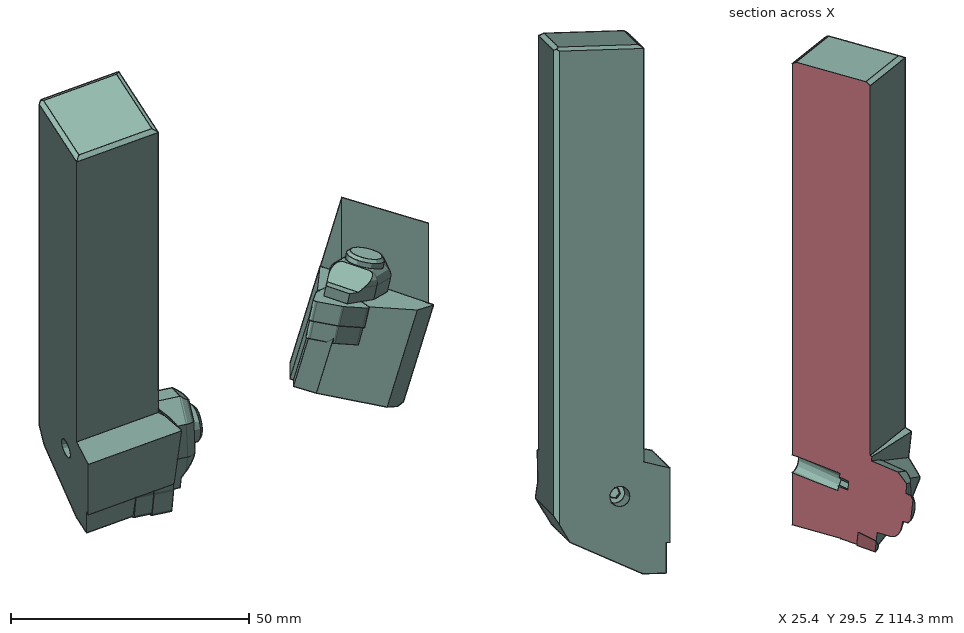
import cadquery as cq
import math

length = 114.3
shank_size = 19.1
edge_chamfer = 1.0
end_chamfer_height = 0.7

head_right = 24.7
shoulder_inner_z = 25.4
shoulder_outer_z = 23.9
relief_right = 23.9
relief_top_z = 8.0
head_bottom_z = 1.5
heel_end_x = 18.9
heel_start_x = 3.3
heel_start_z = 8.7
side_end_z = 14.3

head_back = 25.1
ramp_drop = 2.2

cutting_width = 25.4
tip_y = 19.1
rake_normal = cq.Vector(0.08, 1.0, -0.11).normalized()

inscribed_radius = 4.8
corner_angle = 80.0
corner_count = 3
lead_angle = 5.0
nose_radius = 0.8
insert_thickness = 4.5
shim_thickness = 4.0
shim_radius = 4.6

hole_x = 14.0
hole_z = 18.2
hole_diameter = 4.2
hole_depth = 11.4
socket_sides = 6
socket_size = 2.5
socket_depth = 2.3

clamp_x = 16.1
clamp_z = 15.9
clamp_angle = 21.0
clamp_half_width = 5.5
tail_length = 8.0
tail_half_width = 2.3
tail_corner_length = 2.9
nose_length = 13.0
nose_half_width = 2.7
nose_taper_start = 4.8
clamp_height = 5.7
clamp_fillet = 2.5
tail_side_height = 3.3
tail_top_length = 6.2
slope_start = 4.6
nose_step = 10.3
nose_height = 2.3

recess_depth = 3.2
recess_top = 4.6
recess_bottom = 7.8

screw_diameter = 8.2
screw_height = 7.5
screw_chamfer = 0.7

beyond = 68.6


half_corner = math.radians(corner_angle / 2)
tip_heading = math.radians(lead_angle) + half_corner
nose_overshoot = nose_radius * (math.sin(tip_heading) / math.sin(half_corner) - 1)
insert_tip = cq.Vector(cutting_width + nose_overshoot, tip_y, -nose_overshoot)

hole_entry = cq.Vector(hole_x, 0, hole_z)
clamp_below = cq.Vector(clamp_x, 0, clamp_z)
clamp_rise = (insert_tip - clamp_below).dot(rake_normal) / rake_normal.y
clamp_origin = clamp_below + cq.Vector(0, clamp_rise, 0)

nose_heading = cq.Vector(math.sin(math.radians(clamp_angle)), 0, -math.cos(math.radians(clamp_angle)))
nose_direction = (nose_heading - rake_normal * nose_heading.dot(rake_normal)).normalized()
clamp_plan = cq.Plane(clamp_origin, nose_direction, rake_normal)
clamp_side = cq.Plane(clamp_origin, nose_direction, nose_direction.cross(rake_normal))

topmost = cq.selectors.DirectionMinMaxSelector(rake_normal)
along_normal = cq.selectors.ParallelDirSelector(rake_normal)

insert_across = cq.Vector(-rake_normal.y, rake_normal.x, 0)
insert_plane = cq.Plane(insert_tip, insert_across, rake_normal)
tip_to_center = inscribed_radius / math.sin(half_corner)
insert_center = (tip_to_center * math.cos(tip_heading), tip_to_center * math.sin(tip_heading))


def make_trigon(radius, thickness, depth):
    """Three-cornered plate with broken sides, its top lying depth below the rake plane."""
    corner_reach = radius / math.sin(half_corner)
    side_bend = 180 / corner_count - (90 - corner_angle / 2)
    bend_reach = radius / math.cos(math.radians(side_bend))
    outline = []
    for i in range(2 * corner_count):
        reach = corner_reach if i % 2 == 0 else bend_reach
        angle = tip_heading + math.pi + i * math.pi / corner_count
        outline.append((
            insert_center[0] + reach * math.cos(angle),
            insert_center[1] + reach * math.sin(angle),
        ))
    plate = cq.Workplane(insert_plane).workplane(offset=-depth).polyline(outline).close().extrude(-thickness)
    return plate.edges(along_normal).fillet(nose_radius)


def make_shank():
    bar = cq.Workplane("XY", origin=(0, 0, side_end_z)).rect(shank_size, shank_size, centered=False)
    return bar.extrude(length - side_end_z).faces(">Z").chamfer(end_chamfer_height, edge_chamfer)


def make_head():
    outline = [
        (0, side_end_z),
        (0, shoulder_inner_z),
        (shank_size, shoulder_inner_z),
        (head_right, shoulder_outer_z),
        (head_right, relief_top_z),
        (relief_right, relief_top_z),
        (relief_right, head_bottom_z),
        (heel_end_x, head_bottom_z),
        (heel_start_x, heel_start_z),
    ]
    head = cq.Workplane("XZ").polyline(outline).close().extrude(-head_back)
    ramp = [
        (shank_size, shoulder_inner_z),
        (head_back, shoulder_inner_z),
        (head_back, shoulder_inner_z - ramp_drop),
    ]
    ramp_cut = cq.Workplane("YZ").polyline(ramp).close().extrude(beyond)
    back = [
        (beyond, 0),
        (-recess_top, 0),
        (-recess_bottom, -recess_depth),
        (-beyond, -recess_depth),
        (-beyond, beyond),
        (beyond, beyond),
    ]
    back_cut = cq.Workplane(clamp_side).polyline(back).close().extrude(beyond, both=True)
    return head.cut(ramp_cut).cut(back_cut)


def make_clamp():
    plan = [
        (-tail_length, -tail_half_width),
        (-tail_corner_length, -clamp_half_width),
        (nose_taper_start, -clamp_half_width),
        (nose_length, -nose_half_width),
        (nose_length, nose_half_width),
        (nose_taper_start, clamp_half_width),
        (-tail_corner_length, clamp_half_width),
        (-tail_length, tail_half_width),
    ]
    block = cq.Workplane(clamp_plan).workplane(offset=-recess_depth).polyline(plan).close()
    block = block.extrude(recess_depth + clamp_height).faces(topmost)
    block = block.edges().fillet(clamp_fillet)
    profile = [
        (-tail_length, -recess_depth),
        (-tail_length, tail_side_height),
        (-tail_top_length, clamp_height),
        (slope_start, clamp_height),
        (nose_step, nose_height),
        (nose_length, nose_height),
        (nose_length, 0),
        (-recess_top, 0),
        (-recess_bottom, -recess_depth),
    ]
    side = cq.Workplane(clamp_side).polyline(profile).close().extrude(clamp_half_width, both=True)
    return block.intersect(side)


def make_screw_head():
    head = cq.Workplane(clamp_plan).circle(screw_diameter / 2).extrude(screw_height)
    return head.faces(topmost).chamfer(screw_chamfer)


def cut_long_edge(body):
    """Chamfer the front left edge of the shank and head."""
    corner = cq.Workplane("XY").polyline([(0, 0), (edge_chamfer, 0), (0, edge_chamfer)]).close()
    return body.cut(corner.extrude(length))


def cut_socket_hole(body):
    plane = cq.Plane(hole_entry, nose_direction, rake_normal)
    hole = cq.Workplane(plane).circle(hole_diameter / 2).extrude(hole_depth, both=True)
    socket = cq.Workplane(plane).polygon(socket_sides, socket_size).extrude(hole_depth + socket_depth)
    return body.cut(hole).cut(socket)


def make_holder(insert_body):
    """Shank and head with the shim and the screwed clamp, pocketed for the insert."""
    body = cut_long_edge(make_shank().union(make_head()))
    shim = make_trigon(shim_radius, shim_thickness, depth=insert_thickness)
    body = body.union(shim).union(make_clamp()).union(make_screw_head())
    return cut_socket_hole(body).cut(insert_body)


insert = make_trigon(inscribed_radius, insert_thickness, depth=0)
holder = make_holder(insert)
result = cq.Compound.makeCompound([holder.solids().val(), insert.solids().val()])